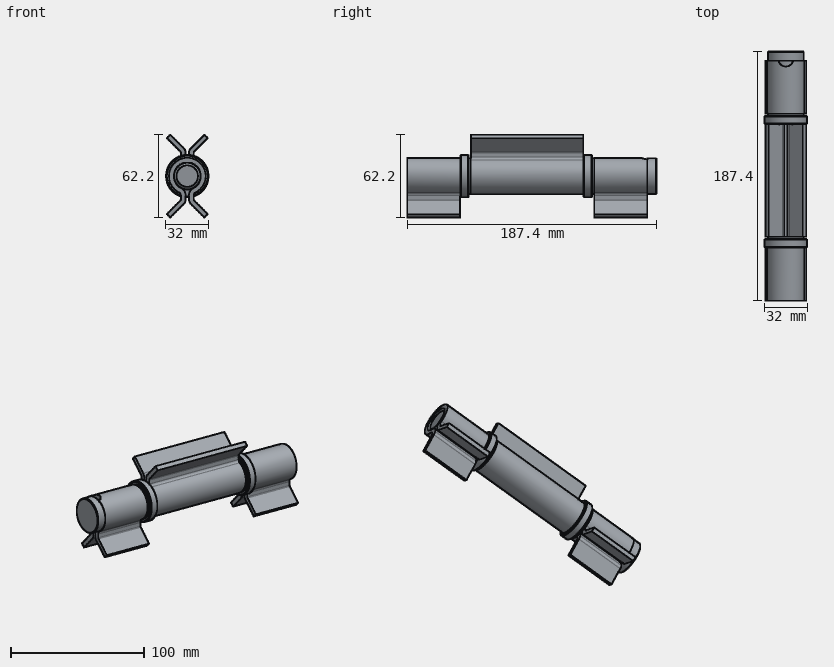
import cadquery as cq
import math


total_length = 187.4
end_knuckle_length = 40.0
collar_length = 8.0
middle_knuckle_length = 84.5

bore_radius = 20.2 / 2
knuckle_radius = 27.5 / 2
sheet_thickness = knuckle_radius - bore_radius
neck_gap = 2.5
root_inner_radius = 2.5
root_outer_radius = root_inner_radius + sheet_thickness
root_center_x = neck_gap / 2 + root_outer_radius
leaf_inner_radius = 1.0
leaf_outer_radius = leaf_inner_radius + sheet_thickness
leaf_center_x = neck_gap / 2 + leaf_outer_radius
leaf_bend_height = 17.6
leaf_tip_height = 31.1
leaf_angle = 45
neck_side = 180

notch_radius = 5.6
notch_center_offset = 1.1

collar_radius = 32.0 / 2
collar_chamfer = 0.7
hub_radius = 27.0 / 2
hub_length = 1.5

pin_radius = 19.9 / 2
pin_chamfer = 1.9
pin_recess = 1.0
head_radius = 27.0 / 2
head_chamfer = 0.5

front_collar_y = end_knuckle_length
middle_knuckle_y = front_collar_y + collar_length
rear_collar_y = middle_knuckle_y + middle_knuckle_length
rear_knuckle_y = rear_collar_y + collar_length
head_y = rear_knuckle_y + end_knuckle_length


def polar(center, radius, degrees):
    """Point on a circle, with the angle measured from +X toward +Z."""
    angle = math.radians(degrees)
    return (center[0] + radius * math.cos(angle), center[1] + radius * math.sin(angle))


def flip(point):
    """Mirror image of an outline point across the Z axis."""
    return (-point[0], point[1])


def make_knuckle(start_y, length):
    """Rolled sheet with a neck on top and two leaves spread apart."""
    axis = (0, 0)
    root_distance = knuckle_radius + root_inner_radius
    root_angle = math.degrees(math.acos(root_center_x / root_distance))
    root_center = polar(axis, root_distance, root_angle)
    root_start = root_angle + 180
    root_middle = (root_start + neck_side) / 2
    leaf_center = (leaf_center_x, leaf_bend_height)
    leaf_end = neck_side - leaf_angle
    leaf_middle = neck_side - leaf_angle / 2

    leaf_start = polar(leaf_center, leaf_outer_radius, leaf_end)
    leaf_rise = leaf_tip_height - leaf_start[1]
    leaf_run = leaf_rise / math.tan(math.radians(leaf_angle))
    inner_tip = (leaf_start[0] + leaf_run, leaf_tip_height)
    outer_tip = polar(inner_tip, sheet_thickness, leaf_angle - 90)

    bore_end = polar(axis, bore_radius, root_angle)
    root_inside = polar(root_center, root_outer_radius, root_middle)
    neck_inside_start = polar(root_center, root_outer_radius, neck_side)
    neck_inside_end = polar(leaf_center, leaf_outer_radius, neck_side)
    leaf_inside = polar(leaf_center, leaf_outer_radius, leaf_middle)
    leaf_outer_end = polar(leaf_center, leaf_inner_radius, leaf_end)
    leaf_outside = polar(leaf_center, leaf_inner_radius, leaf_middle)
    neck_outside_end = polar(leaf_center, leaf_inner_radius, neck_side)
    neck_outside_start = polar(root_center, root_inner_radius, neck_side)
    root_outside = polar(root_center, root_inner_radius, root_middle)
    ring_end = polar(axis, knuckle_radius, root_angle)

    return (
        cq.Workplane("XZ", origin=(0, start_y + length, 0))
        .moveTo(*bore_end)
        .threePointArc(root_inside, neck_inside_start)
        .lineTo(*neck_inside_end)
        .threePointArc(leaf_inside, leaf_start)
        .lineTo(*inner_tip)
        .lineTo(*outer_tip)
        .lineTo(*leaf_outer_end)
        .threePointArc(leaf_outside, neck_outside_end)
        .lineTo(*neck_outside_start)
        .threePointArc(root_outside, ring_end)
        .threePointArc((0, -knuckle_radius), flip(ring_end))
        .threePointArc(flip(root_outside), flip(neck_outside_start))
        .lineTo(*flip(neck_outside_end))
        .threePointArc(flip(leaf_outside), flip(leaf_outer_end))
        .lineTo(*flip(outer_tip))
        .lineTo(*flip(inner_tip))
        .lineTo(*flip(leaf_start))
        .threePointArc(flip(leaf_inside), flip(neck_inside_end))
        .lineTo(*flip(neck_inside_start))
        .threePointArc(flip(root_inside), flip(bore_end))
        .threePointArc((0, -bore_radius), bore_end)
        .close()
        .extrude(length)
    )


def make_end_knuckle(start_y):
    """Same knuckle turned over, so that its leaves point down."""
    return make_knuckle(start_y, end_knuckle_length).rotate((0, 0, 0), (0, 1, 0), 180)


def cut_notch(knuckle):
    """Round notch through the top wall, open at the rear end of the knuckle."""
    cutter = (
        cq.Workplane("XY")
        .center(0, head_y + notch_center_offset)
        .circle(notch_radius)
        .extrude(collar_radius)
    )
    return knuckle.cut(cutter)


def make_collar(start_y):
    """Chamfered ring with a low hub on its rear face."""
    flange_length = collar_length - hub_length
    flange = (
        cq.Workplane("XZ", origin=(0, start_y + flange_length, 0))
        .circle(collar_radius)
        .extrude(flange_length)
        .edges("%CIRCLE")
        .chamfer(collar_chamfer)
    )
    hub = cq.Workplane("XZ", origin=(0, start_y + collar_length, 0)).circle(hub_radius).extrude(collar_length)
    bore = cq.Workplane("XZ", origin=(0, start_y + collar_length, 0)).circle(bore_radius).extrude(collar_length)
    return flange.union(hub).cut(bore)


def make_pin():
    """Shaft with a chamfered front end, recessed in the front knuckle, and a wider head."""
    shaft = (
        cq.Workplane("XZ", origin=(0, head_y, 0))
        .circle(pin_radius)
        .extrude(head_y - pin_recess)
        .faces("<Y")
        .chamfer(pin_chamfer)
    )
    head = (
        cq.Workplane("XZ", origin=(0, total_length, 0))
        .circle(head_radius)
        .extrude(total_length - head_y)
        .faces(">Y")
        .chamfer(head_chamfer)
    )
    return shaft.union(head)


front_knuckle = make_end_knuckle(0)
middle_knuckle = make_knuckle(middle_knuckle_y, middle_knuckle_length)
rear_knuckle = cut_notch(make_end_knuckle(rear_knuckle_y))
collars = [make_collar(y) for y in (front_collar_y, rear_collar_y)]
pin = make_pin()

result = cq.Compound.makeCompound(
    [
        front_knuckle.val(),
        middle_knuckle.val(),
        rear_knuckle.val(),
        *[collar.val() for collar in collars],
        pin.val(),
    ]
)